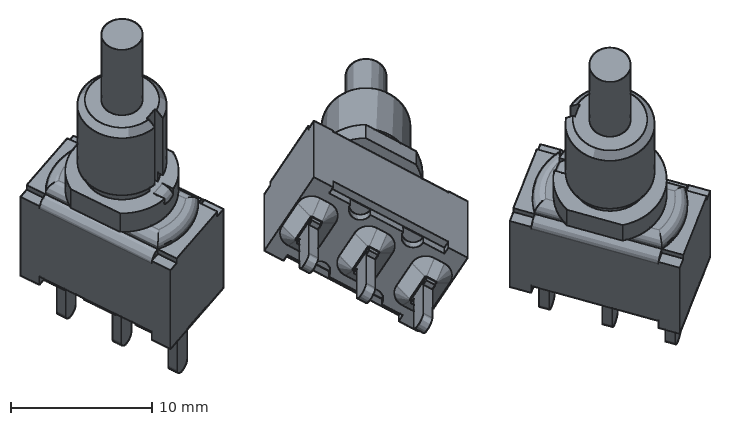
import cadquery as cq
import math


overall_height = 32.95

body_length = 12.7
body_width = 6.9
body_height = 8.95
core_width = 5.27
shoulder_height = 8.47
flange_length = 9.5
flange_lip_top = 8.25

recess_length = flange_length
recess_height = 0.9
recess_depth = 0.55
scallop_radius = 0.82
scallop_offset = 2.18
scallop_height = 0.8

seat_lip_top = 9.23
seat_top = 9.92
seat_round_inset = 0.9
seat_end_radius = 4.78
seat_length = 11.07

nut_radius = 4.02
nut_top = 11.93

neck_radius = 2.75
neck_top = 12.9
bushing_radius = 3.15
bushing_top = 19.55
bushing_chamfer = 0.53
plunger_diameter = 2.93
plunger_top = 26.55

bushing_key_width = 1.02
nut_key_width = 1.12
key_floor_x = 2.45
nut_key_start_x = 3.03
nut_key_drop = 0.7

pin_pitch = 4.7
pin_thickness = 0.75
pin_width = 1.32
pin_bottom = plunger_top - overall_height
collar_width = 2.15
collar_bottom = -1.48
seal_length = 3.13
seal_width = 4.42
seal_height = 1.0
seal_spread = 1.1
seal_tip_corner = 0.05


def block(length, width, bottom, top):
    """Box centred on the Z axis between two heights."""
    return cq.Workplane("XY").workplane(offset=bottom).rect(length, width).extrude(top - bottom)


def cylinder(radius, bottom, top):
    """Cylinder on the Z axis between two heights."""
    return cq.Workplane("XY").workplane(offset=bottom).circle(radius).extrude(top - bottom)


def crest_arc_middle(start, top, run, drop):
    """Middle point of an arc that leaves a level surface and falls by drop over run."""
    radius = (run**2 + drop**2) / (2 * drop)
    half_angle = math.atan2(drop, run)
    return (
        start + radius * math.sin(half_angle),
        top - radius * (1 - math.cos(half_angle)),
    )


def crowned_half_profile(plane, half_size, inset, bottom, lip_top, top):
    """Half section with an upright lip and an arc that runs level into the flat top."""
    flat = half_size - inset
    arc_middle = crest_arc_middle(flat, top, inset, top - lip_top)
    return (
        cq.Workplane(plane)
        .moveTo(0, bottom)
        .lineTo(half_size, bottom)
        .lineTo(half_size, lip_top)
        .threePointArc(arc_middle, (flat, top))
        .lineTo(0, top)
        .close()
    )


def crowned_bar(length, half_width, inset, bottom, lip_top, top):
    """Bar along X with both long top edges rounded."""
    profile = crowned_half_profile("YZ", half_width, inset, bottom, lip_top, top)
    half_bar = profile.extrude(length / 2, both=True)
    return half_bar.union(half_bar.mirror("XZ"))


def make_housing():
    core = block(body_length, core_width, 0, body_height)
    flange_inset = (body_width - core_width) / 2
    flanges = crowned_bar(
        flange_length, body_width / 2, flange_inset, 0, flange_lip_top, body_height
    )
    housing = core.union(flanges)
    ledge_length = (body_length - flange_length) / 2
    ledge_x = (body_length - ledge_length) / 2
    ledge = block(ledge_length, body_width, 0, shoulder_height)
    for x in (-ledge_x, ledge_x):
        housing = housing.union(ledge.translate((x, 0, 0)))

    panel_width = body_width - 2 * recess_depth
    recess = block(recess_length, body_width, 0, recess_height)
    recess = recess.cut(block(recess_length, panel_width, 0, recess_height))
    scallops = (
        cq.Workplane("XY")
        .rarray(2 * scallop_offset, panel_width, 2, 2)
        .circle(scallop_radius)
        .extrude(scallop_height)
    )
    return housing.cut(recess).cut(scallops)


def make_seat():
    section = (seat_round_inset, shoulder_height, seat_lip_top, seat_top)
    bar = crowned_bar(seat_length, core_width / 2, *section)
    disc = crowned_half_profile("XZ", seat_end_radius, *section).revolve(360, (0, 0), (0, 1))
    end_shift = seat_length / 2 - seat_end_radius
    ends = disc.translate((end_shift, 0, 0)).union(disc.translate((-end_shift, 0, 0)))
    return bar.intersect(ends)


def make_nut():
    nut = cylinder(nut_radius, seat_top, nut_top)
    nut = nut.intersect(block(2 * nut_radius, body_width, seat_top, nut_top))
    run = nut_radius - nut_key_start_x
    arc_middle = crest_arc_middle(nut_key_start_x, nut_top, run, nut_key_drop)
    notch = (
        cq.Workplane("XZ")
        .moveTo(nut_key_start_x, nut_top)
        .threePointArc(arc_middle, (nut_radius, nut_top - nut_key_drop))
        .lineTo(nut_radius, nut_top)
        .close()
        .extrude(nut_key_width / 2, both=True)
    )
    return nut.cut(notch)


def make_bushing():
    neck = cylinder(neck_radius, seat_top, neck_top)
    sleeve = cylinder(bushing_radius, neck_top, bushing_top).faces(">Z").chamfer(bushing_chamfer)
    keyway_depth = bushing_radius - key_floor_x
    keyway = block(keyway_depth, bushing_key_width, nut_top, bushing_top)
    keyway = keyway.translate((key_floor_x + keyway_depth / 2, 0, 0))
    plunger = cylinder(plunger_diameter / 2, neck_top, plunger_top)
    return neck.union(sleeve).cut(keyway).union(plunger)


def make_terminal():
    tip_length = seal_length - 2 * seal_spread
    tip_width = seal_width - 2 * seal_spread
    root_corner = seal_tip_corner + seal_spread
    seal = (
        cq.Workplane("XY")
        .placeSketch(
            cq.Sketch().rect(seal_length, seal_width).vertices().fillet(root_corner),
            cq.Sketch()
            .rect(tip_length, tip_width)
            .vertices()
            .fillet(seal_tip_corner)
            .moved(cq.Location(cq.Vector(0, 0, -seal_height))),
        )
        .loft()
    )
    collar = block(pin_thickness, collar_width, collar_bottom, -seal_height)
    pin = block(pin_thickness, pin_width, pin_bottom + pin_width / 2, collar_bottom)
    tip = (
        cq.Workplane("YZ")
        .center(0, pin_bottom + pin_width / 2)
        .circle(pin_width / 2)
        .extrude(pin_thickness / 2, both=True)
    )
    return seal.union(collar).union(pin).union(tip)


result = make_housing().union(make_seat()).union(make_bushing()).union(make_nut())
for pin_x in (-pin_pitch, 0, pin_pitch):
    result = result.union(make_terminal().translate((pin_x, 0, 0)))